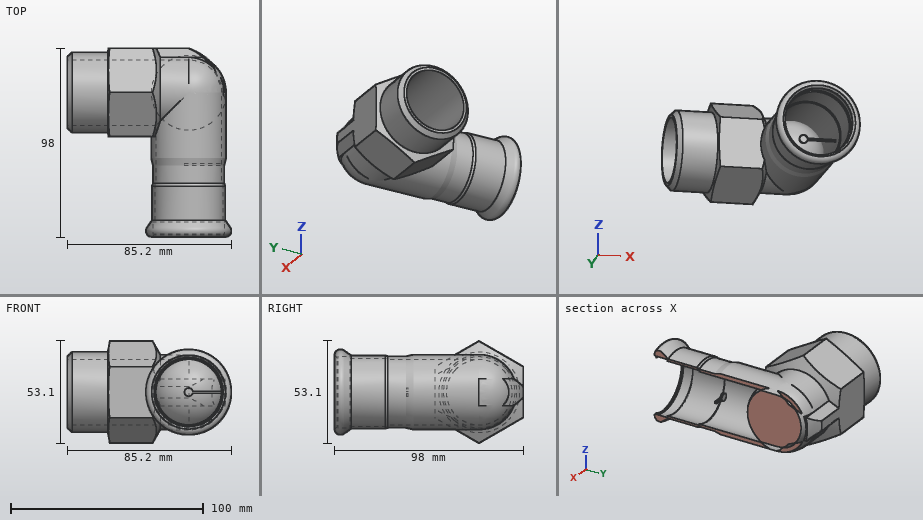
import cadquery as cq
import math


tube_radius = 19.5
bore_radius = 34.0 / 2

thread_end_x = -63.0
thread_chamfer_x = -60.5
hex_start_x = -41.9
hex_corner_start_x = -41.0
hex_corner_end_x = -18.7
hex_end_x = -14.7
thread_radius = 41.9 / 2
thread_tip_radius = 37.0 / 2
hex_across_flats = 46.0
hex_corner_radius = hex_across_flats / math.sqrt(3)

mouth_y = hex_across_flats / 2 - 98
neck_taper_start_y = -34.1
neck_start_y = -37.8
neck_end_y = -47.2
sleeve_start_y = -48.7
bead_start_y = -66.3
bead_round_y = -70.2
neck_radius = 18.6
sleeve_radius = 19.1
bead_shoulder_radius = 21.8
bead_radius = 22.2
bead_widest_y = -72.1
mouth_radius = 38.4 / 2
socket_radius = 35.3 / 2
relief_radius = 37.0 / 2
lip_radius = 35.9 / 2
relief_start_y = -67.0
relief_end_y = -73.3
lip_chamfer = mouth_radius - lip_radius

pad_top_y = hex_across_flats / 2
pad_top_half_width = 2.9
pad_foot_half_width = 7.0
pad_foot_y = math.sqrt(tube_radius**2 - pad_foot_half_width**2)
pad_dome_radius = 29.0
pad_dome_x = -9.1
pad_dome_y = pad_top_y - math.sqrt(pad_dome_radius**2 - pad_dome_x**2)

hub_radius = 2.2
spoke_width = 1.0
insert_thickness = 1.0
insert_front_y = neck_start_y


def cylinder_x(radius, start, end):
    return cq.Workplane("YZ", origin=(start, 0, 0)).circle(radius).extrude(end - start)


def cylinder_y(radius, start, end):
    """Cylinder on the Y axis, from start up to end."""
    return cq.Workplane("XZ", origin=(0, start, 0)).circle(radius).extrude(start - end)


def make_hexagon():
    """Hexagon with two sides facing +Y and -Y, its corners turned down by cones."""
    prism = (
        cq.Workplane("YZ", origin=(hex_start_x, 0, 0))
        .polygon(6, 2 * hex_corner_radius)
        .extrude(hex_end_x - hex_start_x)
        .rotate((0, 0, 0), (1, 0, 0), 90)
    )
    turned_envelope = (
        cq.Workplane("XY")
        .moveTo(hex_start_x, 0)
        .lineTo(hex_start_x, thread_radius)
        .lineTo(hex_corner_start_x, hex_corner_radius)
        .lineTo(hex_corner_end_x, hex_corner_radius)
        .lineTo(hex_end_x, tube_radius)
        .lineTo(hex_end_x, 0)
        .close()
        .revolve(360, (0, 0, 0), (1, 0, 0))
    )
    return prism.intersect(turned_envelope)


def make_threaded_end():
    return (
        cq.Workplane("XY")
        .moveTo(thread_end_x, 0)
        .lineTo(thread_end_x, thread_tip_radius)
        .lineTo(thread_chamfer_x, thread_radius)
        .lineTo(hex_start_x, thread_radius)
        .lineTo(hex_start_x, 0)
        .close()
        .revolve(360, (0, 0, 0), (1, 0, 0))
    )


def make_press_end():
    """Stepped outside of the press leg with its rounded bead."""
    return (
        cq.Workplane("XY")
        .moveTo(0, 0)
        .lineTo(tube_radius, 0)
        .lineTo(tube_radius, neck_taper_start_y)
        .lineTo(neck_radius, neck_start_y)
        .lineTo(neck_radius, neck_end_y)
        .lineTo(sleeve_radius, sleeve_start_y)
        .lineTo(sleeve_radius, bead_start_y)
        .lineTo(bead_shoulder_radius, bead_round_y)
        .threePointArc((bead_radius, bead_widest_y), (mouth_radius, mouth_y))
        .lineTo(0, mouth_y)
        .close()
        .revolve(360, (0, 0, 0), (0, 1, 0))
    )


def make_pad():
    """Ridge level with the hexagon's back flat, ending in a dome over the bend."""
    ridge = (
        cq.Workplane("YZ", origin=(hex_corner_end_x, 0, 0))
        .moveTo(0, -pad_foot_half_width)
        .lineTo(pad_foot_y, -pad_foot_half_width)
        .lineTo(pad_top_y, -pad_top_half_width)
        .lineTo(pad_top_y, pad_top_half_width)
        .lineTo(pad_foot_y, pad_foot_half_width)
        .lineTo(0, pad_foot_half_width)
        .close()
        .extrude(tube_radius - hex_corner_end_x)
    )
    dome = cq.Workplane("XY").sphere(pad_dome_radius).translate((pad_dome_x, pad_dome_y, 0))
    straight = cq.Workplane("XY").box(
        -hex_corner_end_x, pad_top_y, 2 * pad_foot_half_width, centered=(False, False, True)
    ).translate((hex_corner_end_x, 0, 0))
    return ridge.intersect(dome.union(straight))


def make_bores():
    """Run bore, press bore, spherical bend and the stepped socket at the mouth."""
    run_bore = cylinder_x(bore_radius, thread_end_x, 0)
    press_bore = cylinder_y(bore_radius, mouth_y, 0)
    bend = cq.Workplane("XY").sphere(bore_radius)
    socket = cylinder_y(socket_radius, mouth_y, neck_end_y)
    relief = cylinder_y(relief_radius, relief_end_y, relief_start_y)
    lip = cylinder_y(lip_radius, mouth_y, relief_end_y)
    lead_in = (
        cq.Workplane("XZ", origin=(0, mouth_y, 0))
        .circle(mouth_radius)
        .workplane(offset=-lip_chamfer)
        .circle(lip_radius)
        .loft()
    )
    return run_bore.union(press_bore).union(bend).union(socket).union(relief).union(lip).union(lead_in)


def make_housing():
    elbow = cylinder_x(tube_radius, hex_end_x, 0).union(cq.Workplane("XY").sphere(tube_radius))
    outside = elbow.union(make_press_end()).union(make_pad()).union(make_hexagon()).union(make_threaded_end())
    return outside.cut(make_bores())


def make_insert():
    """Flat hub on the press axis with a spoke toward +X, trimmed to meet the bore wall."""
    insert_back_y = insert_front_y + insert_thickness
    hub = cylinder_y(hub_radius, insert_front_y, insert_back_y)
    spoke = (
        cq.Workplane("XY")
        .box(tube_radius, insert_thickness, spoke_width, centered=(False, False, True))
        .translate((0, insert_front_y, 0))
        .intersect(cylinder_y(bore_radius, insert_front_y, insert_back_y))
    )
    return hub.union(spoke)


housing = make_housing()
insert = make_insert()

result = cq.Compound.makeCompound([housing.val(), insert.val()])